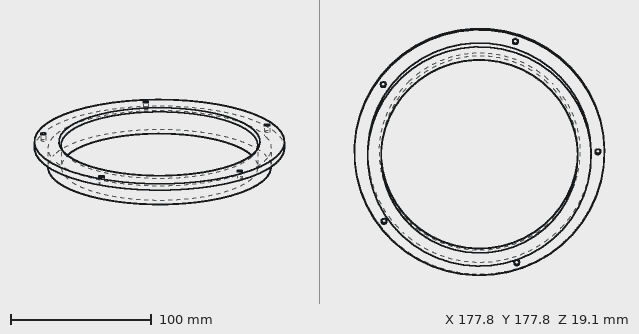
import cadquery as cq

flange_diameter = 177.8
sleeve_diameter = 158.75
bore_diameter = 139.7
total_height = 19.05
flange_thickness = 4.7625
chamfer_width = 1.5875
chamfer_depth = 2.54
screw_hole_diameter = 3.81
screw_hole_count = 5
first_hole_angle = -90.0

flange_radius = flange_diameter / 2
sleeve_radius = sleeve_diameter / 2
bore_radius = bore_diameter / 2
sleeve_height = total_height - flange_thickness

bolt_circle_radius = (flange_radius + sleeve_radius) / 2


def make_flanged_ring():
    """Ring turned about Z: a sleeve on Z = 0, a wider flange on top, a bore beveled at its upper rim."""
    cross_section = [
        (bore_radius, 0),
        (sleeve_radius, 0),
        (sleeve_radius, sleeve_height),
        (flange_radius, sleeve_height),
        (flange_radius, total_height),
        (bore_radius + chamfer_width, total_height),
        (bore_radius, total_height - chamfer_depth),
    ]
    return cq.Workplane("XZ").polyline(cross_section).close().revolve(360, (0, 0), (0, 1))


def make_screw_holes():
    """Evenly spaced cylinders that pass through the flange."""
    return (
        cq.Workplane("XY")
        .workplane(offset=sleeve_height)
        .polarArray(bolt_circle_radius, first_hole_angle, 360, screw_hole_count)
        .circle(screw_hole_diameter / 2)
        .extrude(flange_thickness)
    )


result = make_flanged_ring().cut(make_screw_holes())